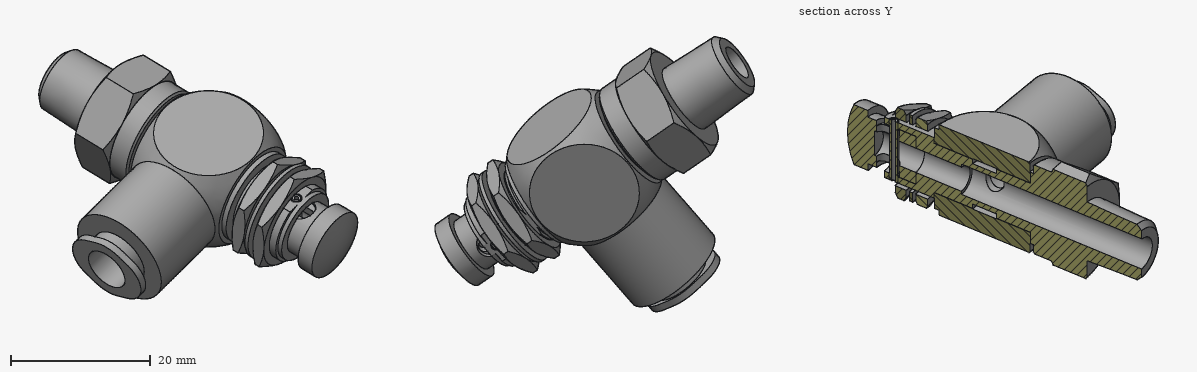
import cadquery as cq
import math


TIP_X = -27.58
THREAD_START_X = -26.77
THREAD_END_X = -18.83
HEX_START_X = -18.06
HEX_END_X = -11.73
COLLAR_END_X = -8.53
ELBOW_HALF = 8.0
BOSS_END_X = 8.78
GROOVE_END_X = 9.55
PANEL_START_X = 9.75
PANEL_END_X = 16.84
SLEEVE_END_X = 17.53
KNOB_START_X = 20.39
KNOB_RIM_X = 22.91
KNOB_END_X = 24.06

TIP_R = 4.12
THREAD_SMALL_R = 4.92
THREAD_LARGE_R = 5.2
HEX_CORNER_R = 9.165
HEX_CHAMFER_LENGTH = 0.7
HEX_TURN = 9.66
COLLAR_R = 7.87
COLLAR_CHAMFER = 0.3
NECK_R = 6.32
STEM_R = 4.4
SLEEVE_R = 5.45
GROOVE_R = 5.52
PANEL_R = 5.95
PANEL_FLAT_Z = 5.36
INLET_BORE_R = 2.62
INLET_BORE_END_X = 4.0
FLOW_BORE_R = 2.1
METERING_GROOVE_R = 3.6
METERING_GROOVE_WIDTH = 4.08
METERING_HOLE_R = 1.61

ELBOW_HALF_Y = 8.23
ELBOW_SPHERE_R = 11.21
BOSS_R = 7.15
PORT_R = 7.61
PORT_END_Y = -20.67
PORT_BORE_R = 3.3

COLLET_R = 4.51
COLLET_INNER_Y = -11.0
FLANGE_START_Y = -22.5
COLLET_END_Y = -23.62
FLANGE_MID_R = 4.92
FLANGE_END_R = 4.03
FLANGE_END_OFFSET = 2.18

NUT_CORNER_R = 8.32
NUT_CHAMFER_LENGTH = 0.6
FIRST_NUT = (9.93, 12.05, 50.6)
SECOND_NUT = (13.67, 15.66, 55.7)
WASHER_START_X = 12.58
WASHER_END_X = 13.14
WASHER_R = 7.64

KNOB_R = 5.32
KNOB_STEM_R = 4.15
KNOB_STEM_START_X = 12.0
KNOB_BORE_END_X = 19.2
SLOT_HALF_WIDTH = 0.92
SLOT_END_X = 18.87
SCOOP_R = 2.0
SCOOP_CENTRE_X = 16.92
SCOOP_FLOOR_Z = 3.2
PIN_X = 15.94
PIN_R = 0.78
PIN_BORE_R = 0.3
PIN_CHAMFER = 0.2


def disc(start_x, end_x, radius):
    """Cylinder on the main axis."""
    return cq.Workplane("YZ", origin=(start_x, 0, 0)).circle(radius).extrude(end_x - start_x)


def turned(outline):
    """Revolve (x, radius) points, closed along the main axis."""
    first_x = outline[0][0]
    last_x = outline[-1][0]
    points = [(first_x, 0)] + outline + [(last_x, 0)]
    return cq.Workplane("XY").polyline(points).close().revolve(360, (0, 0, 0), (1, 0, 0))


def port_cylinder(start_y, end_y, radius):
    """Cylinder on the port axis, running from start_y toward -Y."""
    return cq.Workplane("XZ", origin=(0, start_y, 0)).circle(radius).extrude(start_y - end_y)


def upright_cylinder(x, radius, half_height):
    """Cylinder parallel to Z, centred on the plane of both axes."""
    return cq.Workplane("XY", origin=(x, 0, -half_height)).circle(radius).extrude(2 * half_height)


def chamfered_hexagon(start_x, end_x, corner_r, turn, chamfer_length):
    """Hexagonal prism whose corners are turned down to the across-flats circle at both faces."""
    flat_r = corner_r * math.cos(math.radians(30))
    prism = (
        cq.Workplane("YZ", origin=(start_x, 0, 0))
        .polygon(6, 2 * corner_r)
        .extrude(end_x - start_x)
        .rotate((0, 0, 0), (1, 0, 0), 90 + turn)
    )
    envelope = turned([
        (start_x, flat_r),
        (start_x + chamfer_length, corner_r),
        (end_x - chamfer_length, corner_r),
        (end_x, flat_r),
    ])
    return prism.intersect(envelope)


def make_fitting():
    thread_and_stem = turned([
        (TIP_X, TIP_R),
        (THREAD_START_X, THREAD_SMALL_R),
        (THREAD_END_X, THREAD_LARGE_R),
        (HEX_END_X, THREAD_LARGE_R),
        (HEX_END_X, COLLAR_R),
        (COLLAR_END_X - COLLAR_CHAMFER, COLLAR_R),
        (COLLAR_END_X, COLLAR_R - COLLAR_CHAMFER),
        (COLLAR_END_X, NECK_R),
        (-ELBOW_HALF, NECK_R),
        (-ELBOW_HALF, STEM_R),
        (BOSS_END_X, STEM_R),
    ])
    sleeve = turned([
        (BOSS_END_X, GROOVE_R),
        (GROOVE_END_X, GROOVE_R),
        (PANEL_START_X, PANEL_R),
        (PANEL_END_X, PANEL_R),
        (PANEL_END_X, SLEEVE_R),
        (SLEEVE_END_X, SLEEVE_R),
    ])
    sleeve_length = SLEEVE_END_X - BOSS_END_X
    flats = cq.Workplane("XY").box(sleeve_length, 2 * PANEL_R, 2 * PANEL_FLAT_Z)
    sleeve = sleeve.intersect(flats.translate((BOSS_END_X + sleeve_length / 2, 0, 0)))
    hexagon = chamfered_hexagon(HEX_START_X, HEX_END_X, HEX_CORNER_R, HEX_TURN, HEX_CHAMFER_LENGTH)
    fitting = thread_and_stem.union(hexagon).union(sleeve)

    half_groove = METERING_GROOVE_WIDTH / 2
    groove_ring = disc(-half_groove, half_groove, STEM_R)
    groove_ring = groove_ring.cut(disc(-half_groove, half_groove, METERING_GROOVE_R))
    return (
        fitting
        .cut(groove_ring)
        .cut(disc(TIP_X, INLET_BORE_END_X, INLET_BORE_R))
        .cut(disc(INLET_BORE_END_X, KNOB_STEM_START_X, FLOW_BORE_R))
        .cut(disc(KNOB_STEM_START_X, SLEEVE_END_X, KNOB_STEM_R))
        .cut(port_cylinder(0, -STEM_R, METERING_HOLE_R))
        .cut(upright_cylinder(PIN_X, PIN_R, PANEL_R))
    )


def make_elbow():
    block = cq.Workplane("XY").box(2 * ELBOW_HALF, 2 * ELBOW_HALF_Y, 2 * ELBOW_HALF)
    block = block.intersect(cq.Workplane("XY").sphere(ELBOW_SPHERE_R))
    return (
        block
        .union(port_cylinder(0, PORT_END_Y, PORT_R))
        .union(disc(0, BOSS_END_X, BOSS_R))
        .cut(disc(-ELBOW_HALF, BOSS_END_X, STEM_R))
        .cut(port_cylinder(0, PORT_END_Y, PORT_BORE_R))
        .cut(port_cylinder(COLLET_INNER_Y, PORT_END_Y, COLLET_R))
    )


def make_collet():
    """Tube with an oval flange: a middle arc joined to two end arcs by tangent lines."""
    tangent_angle = math.asin((FLANGE_MID_R - FLANGE_END_R) / FLANGE_END_OFFSET)
    mid_x = FLANGE_MID_R * math.sin(tangent_angle)
    mid_z = FLANGE_MID_R * math.cos(tangent_angle)
    end_x = FLANGE_END_OFFSET + FLANGE_END_R * math.sin(tangent_angle)
    end_z = FLANGE_END_R * math.cos(tangent_angle)
    far_x = FLANGE_END_OFFSET + FLANGE_END_R
    flange = (
        cq.Workplane("XZ", origin=(0, FLANGE_START_Y, 0))
        .moveTo(-mid_x, mid_z)
        .threePointArc((0, FLANGE_MID_R), (mid_x, mid_z))
        .lineTo(end_x, end_z)
        .threePointArc((far_x, 0), (end_x, -end_z))
        .lineTo(mid_x, -mid_z)
        .threePointArc((0, -FLANGE_MID_R), (-mid_x, -mid_z))
        .lineTo(-end_x, -end_z)
        .threePointArc((-far_x, 0), (-end_x, end_z))
        .close()
        .extrude(FLANGE_START_Y - COLLET_END_Y)
    )
    return (
        port_cylinder(COLLET_INNER_Y, FLANGE_START_Y, COLLET_R)
        .union(flange)
        .cut(port_cylinder(COLLET_INNER_Y, COLLET_END_Y, PORT_BORE_R))
    )


def make_nut(start_x, end_x, turn):
    nut = chamfered_hexagon(start_x, end_x, NUT_CORNER_R, turn, NUT_CHAMFER_LENGTH)
    return nut.cut(disc(start_x, end_x, PANEL_R))


def make_washer():
    return disc(WASHER_START_X, WASHER_END_X, WASHER_R).cut(disc(WASHER_START_X, WASHER_END_X, PANEL_R))


def make_knob():
    dome_height = KNOB_END_X - KNOB_RIM_X
    dome_r = (KNOB_R**2 + dome_height**2) / (2 * dome_height)
    half_r = KNOB_R / 2
    half_r_x = KNOB_END_X - dome_r + math.sqrt(dome_r**2 - half_r**2)
    head = (
        cq.Workplane("XY")
        .moveTo(KNOB_START_X, 0)
        .lineTo(KNOB_START_X, KNOB_R)
        .lineTo(KNOB_RIM_X, KNOB_R)
        .threePointArc((half_r_x, half_r), (KNOB_END_X, 0))
        .close()
        .revolve(360, (0, 0, 0), (1, 0, 0))
    )
    knob = disc(KNOB_STEM_START_X, KNOB_START_X, KNOB_STEM_R).union(head)

    slot_first_x = PIN_X
    slot_last_x = SLOT_END_X - SLOT_HALF_WIDTH
    slot_centre_x = (slot_first_x + slot_last_x) / 2
    slot = (
        cq.Workplane("XY")
        .center(slot_centre_x, 0)
        .slot2D(slot_last_x - slot_first_x + 2 * SLOT_HALF_WIDTH, 2 * SLOT_HALF_WIDTH)
        .extrude(KNOB_STEM_R, both=True)
    )
    bore = disc(KNOB_STEM_START_X, KNOB_BORE_END_X, FLOW_BORE_R)

    scoops = upright_cylinder(SCOOP_CENTRE_X, SCOOP_R, KNOB_STEM_R)
    scoops = scoops.cut(upright_cylinder(SCOOP_CENTRE_X, SCOOP_R, SCOOP_FLOOR_Z))
    return knob.cut(slot).cut(bore).cut(scoops)


def make_stop_pin():
    pin = upright_cylinder(PIN_X, PIN_R, PANEL_FLAT_Z).faces("|Z").chamfer(PIN_CHAMFER)
    return pin.cut(upright_cylinder(PIN_X, PIN_BORE_R, PANEL_FLAT_Z))


fitting = make_fitting()
elbow = make_elbow()
collet = make_collet()
panel_nuts = [make_nut(*placement) for placement in (FIRST_NUT, SECOND_NUT)]
washer = make_washer()
knob = make_knob()
stop_pin = make_stop_pin()

result = cq.Compound.makeCompound([
    fitting.val(),
    elbow.val(),
    collet.val(),
    *[nut.val() for nut in panel_nuts],
    washer.val(),
    knob.val(),
    stop_pin.val(),
])